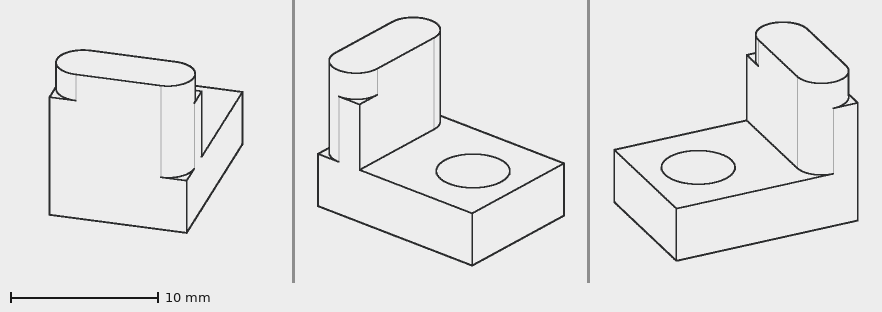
import cadquery as cq

width = 9.7
depth = 13.7
height = 11.0

base_height = 4.0
wall_thickness = 3.7
end_radius = wall_thickness / 2
corner_drop = 2.0
hole_diameter = 5.0
hole_to_back = 4.0

base = cq.Workplane("XY").box(width, depth, base_height, centered=False)

wall = (
    cq.Workplane("XY")
    .center(width / 2, end_radius)
    .slot2D(width, wall_thickness)
    .extrude(height)
)

def corner_block(x, y):
    return (
        cq.Workplane("XY")
        .box(end_radius, end_radius, height - corner_drop, centered=False)
        .translate((x, y, 0))
    )


front_left_corner = corner_block(0, 0)
back_right_corner = corner_block(width - end_radius, wall_thickness - end_radius)

hole = (
    cq.Workplane("XY")
    .center(width / 2, depth - hole_to_back)
    .circle(hole_diameter / 2)
    .extrude(base_height)
)

result = base.union(wall).union(front_left_corner).union(back_right_corner).cut(hole)